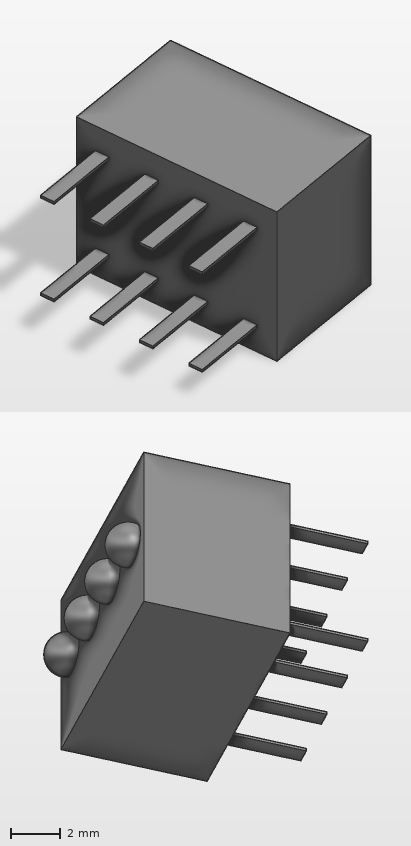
import cadquery as cq

body_width = 10.29
body_height = 7.77
total_length = 11.17
lead_length = 3.7
dome_height = 1.15
body_depth = total_length - lead_length - dome_height

position_count = 4
position_pitch = 2.54
position_xs = [(i - (position_count - 1) / 2) * position_pitch for i in range(position_count)]

lead_width = 0.69
lead_thickness = 0.13
lead_row_spacing = 5.08
lead_offset_x = -0.01

lens_radius = 0.94
lens_center_y = body_depth + dome_height - lens_radius


def make_body():
    return cq.Workplane("XY").box(body_width, body_depth, body_height, centered=(True, False, True))


def make_leads():
    """Flat leads standing on the lead face and pointing toward -Y."""
    row_zs = [-lead_row_spacing / 2, lead_row_spacing / 2]
    centers = [(x + lead_offset_x, z) for x in position_xs for z in row_zs]
    return cq.Workplane("XZ").pushPoints(centers).rect(lead_width, lead_thickness).extrude(lead_length)


def make_lens(x):
    """Full sphere whose outermost point is the dome height beyond the back face."""
    return cq.Workplane("XZ", origin=(x, lens_center_y, 0)).sphere(lens_radius)


result = make_body().union(make_leads())
for position_x in position_xs:
    result = result.union(make_lens(position_x))